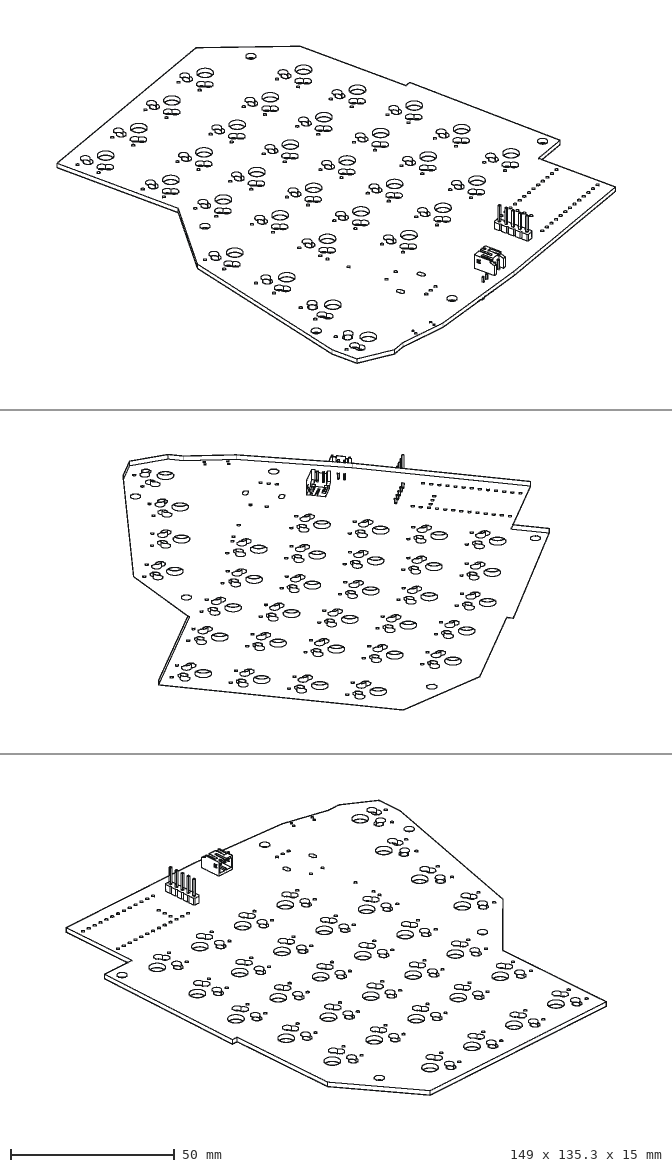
import cadquery as cq
import math

OVERALL_HEIGHT = 15.0
BOARD_THICKNESS = 1.6
BOARD_OUTLINE = [
    (0, 38.5), (44.5, 38.5), (66.5, 16.2), (126.8, 0), (135.9, 0), (142.6, 10.6), (142.6, 15.3),
    (146.8, 31.0), (149, 66.8), (149, 122.5), (120.7, 122.5), (120.7, 134.4), (64.8, 135.3),
    (64.8, 133.2), (26.0, 133.2), (0, 114.9),
]

LEAD_HOLE_DIAMETER = 1.0
MOUNT_DIAMETER = 3.1
MOUNT_POINTS = [(16.5, 120.2), (116.5, 131.0), (141.5, 43.8), (56.8, 34.9), (117.0, 6.0)]

SWITCH_POST_DIAMETER = 5.0
SWITCH_PIN_DIAMETER = 3.0
SWITCH_PIN_POINTS = [(2.5, -5.8), (4.3, -4.8)]
DIODE_HALF_SPAN = 3.9
DIODE_CENTRE = (0, -8.8)
LOW_DIODE_CENTRE = (-0.5, -9.0)

FIVE_ROW_SPAN = 72.9
ROW_PITCH = FIVE_ROW_SPAN / 4
COLUMNS = [
    (10.0, 104.9, 0, 4),
    (34.0, 123.0, 0, 5),
    (53.8, 123.0, -0.4, 5),
    (73.0, 125.5, -0.4, 5),
    (92.2, 122.8, -0.4, 5),
    (112.2, 120.1, -1.0, 4),
]
BOTTOM_ROW_Y = 53.6
THUMB_KEYS = [(72.4, 27.9, -7), (93.1, 25.5, -11.5), (113.2, 20.7, -21.5), (132.0, 12.0, -31)]

HEADER_PITCH = 2.5

CONTROLLER_ROWS = 13
CONTROLLER_TOP_Y = 120.4
CONTROLLER_LEFT_X = 128.7
CONTROLLER_RIGHT_X = 143.8
SIDE_ROW_HOLES = 3
SIDE_ROW_POSITION = 10
SIDE_ROW_Y = CONTROLLER_TOP_Y - SIDE_ROW_POSITION * HEADER_PITCH

ENCODER_CENTRE = (126.4, 44.0)
ENCODER_HALF_SPAN = 7.3
ENCODER_LEAD_OFFSET = 2.5
ENCODER_TAB_OFFSET = 5.7
ENCODER_TAB_LENGTH = 2.7
ENCODER_TAB_WIDTH = 1.6

SPARE_DIODE_CENTRE = (101.8, 40.7)

BUTTON_LEAD_DIAMETER = 0.7
BUTTON_LEAD_POINTS = [(143.3, 29.4), (145.0, 28.8), (141.5, 22.4), (143.0, 21.8)]

HEADER_PINS = 5
HEADER_CENTRE = (137.1, 84.0)
HEADER_BODY_HEIGHT = 2.4
HEADER_BODY_DEPTH = 2.5
HEADER_CHAMFER = 0.37
HEADER_PIN_SIDE = 0.64
HEADER_PIN_BOTTOM = 1.5
PIN_TIP = 0.22

CONNECTOR_FRONT_X = 138.0
CONNECTOR_LENGTH = 7.5
CONNECTOR_BODY_LENGTH = 5.8
CONNECTOR_WIDTH = 6.0
CONNECTOR_HEIGHT = 4.9
UPPER_CONNECTOR_Y = 64.4
LOWER_CONNECTOR_Y = 57.8
WING_THICKNESS = 1.0
WING_TOP = 4.2
WING_END_TOP = 3.6
CAVITY_DEPTH = 4.3
SIDE_WALL = 0.52
FLOOR = 0.9
ROOF = 0.67
KEY_WIDTH = 0.67
KEY_RIB_HEIGHT = 0.52
GROOVE_START = 2.1
GROOVE_WIDTH = 1.0
PIN_ONE_MARK = (1.0, 0.6, 0.1)
PIN_ONE_MARK_Y = 1.6
WINDOW_SIDE = 1.0
WINDOW_START = 1.0
CONTACT_PITCH = 2.0
CONTACT_SIDE = 0.5
CONTACT_HEIGHT = 3.0
CONTACT_INSET = 1.0
LEAD_X = 144.2
LEAD_LENGTH = 3.5
LEAD_TIP = 0.1
CONTACT_HOLE_DIAMETER = 0.7


def place(x, y, tilt, offset):
    """Point at an offset in the frame of a switch at x, y turned by tilt degrees."""
    angle = math.radians(tilt)
    return (
        x + offset[0] * math.cos(angle) - offset[1] * math.sin(angle),
        y + offset[0] * math.sin(angle) + offset[1] * math.cos(angle),
    )


def key_switches():
    """All switches as x, y, tilt and the local centre of their diode."""
    keys = []
    for top_x, top_y, tilt, count in COLUMNS:
        for row in range(count):
            x, y = place(top_x, top_y, tilt, (0, -row * ROW_PITCH))
            keys.append((x, y, tilt, LOW_DIODE_CENTRE if y < BOTTOM_ROW_Y else DIODE_CENTRE))
    keys += [(x, y, tilt, LOW_DIODE_CENTRE) for x, y, tilt in THUMB_KEYS]
    return keys


def drills(points, diameter):
    """Cylinders through the whole board at the given points."""
    return cq.Workplane("XY").pushPoints(points).circle(diameter / 2).extrude(BOARD_THICKNESS)


def contact_offsets():
    """Y of both contacts from the mid-plane of their connector."""
    return (-CONTACT_PITCH / 2, CONTACT_PITCH / 2)


def header_pin_points():
    """Places of the header pins, along X."""
    x, y = HEADER_CENTRE
    return [(x + (i - (HEADER_PINS - 1) / 2) * HEADER_PITCH, y) for i in range(HEADER_PINS)]


def make_board():
    """Circuit board with every hole drilled through."""
    board = cq.Workplane("XY").polyline(BOARD_OUTLINE).close().extrude(BOARD_THICKNESS)
    board = board.cut(drills(MOUNT_POINTS, MOUNT_DIAMETER))

    posts, diode_leads = [], []
    inner_pins, outer_pins = [], []
    inner, outer = SWITCH_PIN_POINTS
    for x, y, tilt, (diode_x, diode_y) in key_switches():
        posts.append((x, y))
        for side in (-1, 1):
            inner_pins.append(place(x, y, tilt, (side * inner[0], inner[1])))
            outer_pins.append(place(x, y, tilt, (side * outer[0], outer[1])))
            diode_leads.append(place(x, y, tilt, (diode_x + side * DIODE_HALF_SPAN, diode_y)))
    spare_x, spare_y = SPARE_DIODE_CENTRE
    diode_leads += [(spare_x + side * DIODE_HALF_SPAN, spare_y) for side in (-1, 1)]
    board = board.cut(drills(posts, SWITCH_POST_DIAMETER))
    board = board.cut(drills(inner_pins, SWITCH_PIN_DIAMETER))
    board = board.cut(drills(outer_pins, SWITCH_PIN_DIAMETER))
    board = board.cut(drills(diode_leads, LEAD_HOLE_DIAMETER))

    leads = header_pin_points()
    for i in range(CONTROLLER_ROWS):
        y = CONTROLLER_TOP_Y - i * HEADER_PITCH
        leads += [(CONTROLLER_LEFT_X, y), (CONTROLLER_RIGHT_X, y)]
    for i in range(SIDE_ROW_HOLES):
        leads.append((CONTROLLER_LEFT_X + (i + 1) * HEADER_PITCH, SIDE_ROW_Y))
    encoder_x, encoder_y = ENCODER_CENTRE
    for offset in (-ENCODER_LEAD_OFFSET, ENCODER_LEAD_OFFSET):
        leads.append((encoder_x - ENCODER_HALF_SPAN, encoder_y + offset))
    for offset in (-ENCODER_LEAD_OFFSET, 0, ENCODER_LEAD_OFFSET):
        leads.append((encoder_x + ENCODER_HALF_SPAN, encoder_y + offset))
    board = board.cut(drills(leads, LEAD_HOLE_DIAMETER))

    tabs = (
        cq.Workplane("XY")
        .pushPoints([(encoder_x, encoder_y + s * ENCODER_TAB_OFFSET) for s in (-1, 1)])
        .slot2D(ENCODER_TAB_LENGTH, ENCODER_TAB_WIDTH)
        .extrude(BOARD_THICKNESS)
    )
    board = board.cut(tabs)

    board = board.cut(drills(BUTTON_LEAD_POINTS, BUTTON_LEAD_DIAMETER))
    connector_leads = [
        (LEAD_X, y + offset)
        for y in (UPPER_CONNECTOR_Y, LOWER_CONNECTOR_Y)
        for offset in contact_offsets()
    ]
    return board.cut(drills(connector_leads, CONTACT_HOLE_DIAMETER))


def make_header():
    """Row of chamfered housing blocks with a square pin through each."""
    header = cq.Workplane("XY")
    length = OVERALL_HEIGHT - CONNECTOR_HEIGHT + HEADER_PIN_BOTTOM
    for point in header_pin_points():
        housing = (
            cq.Workplane("XY", origin=(*point, BOARD_THICKNESS))
            .rect(HEADER_PITCH, HEADER_BODY_DEPTH)
            .extrude(HEADER_BODY_HEIGHT)
            .edges("|Z")
            .chamfer(HEADER_CHAMFER)
        )
        pin = (
            cq.Workplane("XY", origin=(*point, -HEADER_PIN_BOTTOM))
            .rect(HEADER_PIN_SIDE, HEADER_PIN_SIDE)
            .extrude(length)
            .faces("<Z or >Z")
            .chamfer(PIN_TIP)
        )
        header = header.union(housing).union(pin)
    return header


def block(start, size, y=0):
    """Box from start (x, z) with size (x, y, z), centred on y."""
    x, z = start
    return cq.Workplane("XY").box(*size, centered=(False, True, False)).translate((x, y, z))


def make_connector():
    """Side-entry connector, open toward -X, standing on Z = 0 and centred on Y = 0."""
    front = CONNECTOR_FRONT_X
    rear = front + CONNECTOR_LENGTH
    body_end = front + CONNECTOR_BODY_LENGTH
    cavity_height = CONNECTOR_HEIGHT - FLOOR - ROOF
    roof_bottom = CONNECTOR_HEIGHT - ROOF

    profile = [
        (front, 0), (rear, 0), (rear, WING_END_TOP), (body_end, WING_TOP),
        (body_end, CONNECTOR_HEIGHT), (front, CONNECTOR_HEIGHT),
    ]
    body = cq.Workplane("XZ").polyline(profile).close().extrude(CONNECTOR_WIDTH / 2, both=True)
    bay_width = CONNECTOR_WIDTH - 2 * WING_THICKNESS
    body = body.cut(block((body_end, 0), (CONNECTOR_LENGTH, bay_width, CONNECTOR_HEIGHT)))

    cavity_width = CONNECTOR_WIDTH - 2 * SIDE_WALL
    body = body.cut(block((front, FLOOR), (CAVITY_DEPTH, cavity_width, cavity_height)))
    body = body.union(block((front, FLOOR), (CAVITY_DEPTH, KEY_WIDTH, KEY_RIB_HEIGHT)))
    body = body.cut(block((front, roof_bottom), (CAVITY_DEPTH, KEY_WIDTH, ROOF)))

    groove_y = CONNECTOR_WIDTH / 2 - SIDE_WALL - GROOVE_WIDTH / 2
    groove_length = CONNECTOR_BODY_LENGTH - GROOVE_START
    for side in (-1, 1):
        size = (groove_length, GROOVE_WIDTH, ROOF)
        body = body.cut(block((front + GROOVE_START, roof_bottom), size, side * groove_y))

    mark_bottom = CONNECTOR_HEIGHT - PIN_ONE_MARK[2]
    body = body.cut(block((front, mark_bottom), PIN_ONE_MARK, PIN_ONE_MARK_Y))

    window_bottom = CONTACT_HEIGHT - WINDOW_SIDE / 2
    window_size = (WINDOW_SIDE, CONNECTOR_WIDTH, WINDOW_SIDE)
    body = body.cut(block((front + WINDOW_START, window_bottom), window_size))

    contact_start = front + CONTACT_INSET
    contact_length = LEAD_X + CONTACT_SIDE / 2 - contact_start
    contact_bottom = CONTACT_HEIGHT - CONTACT_SIDE / 2
    for y in contact_offsets():
        size = (contact_length, CONTACT_SIDE, CONTACT_SIDE)
        contact = block((contact_start, contact_bottom), size, y)
        lead = (
            cq.Workplane("XY", origin=(LEAD_X, y, -LEAD_LENGTH))
            .rect(CONTACT_SIDE, CONTACT_SIDE)
            .extrude(LEAD_LENGTH + CONTACT_HEIGHT)
            .faces("<Z")
            .chamfer(LEAD_TIP)
        )
        body = body.union(contact).union(lead)
    return body


board = make_board()
header = make_header()
connector = make_connector()
upper = connector.translate((0, UPPER_CONNECTOR_Y, BOARD_THICKNESS))
lower = connector.rotate((0, 0, 0), (1, 0, 0), 180).translate((0, LOWER_CONNECTOR_Y, 0))

result = cq.Compound.makeCompound([board.val(), header.val(), upper.val(), lower.val()])